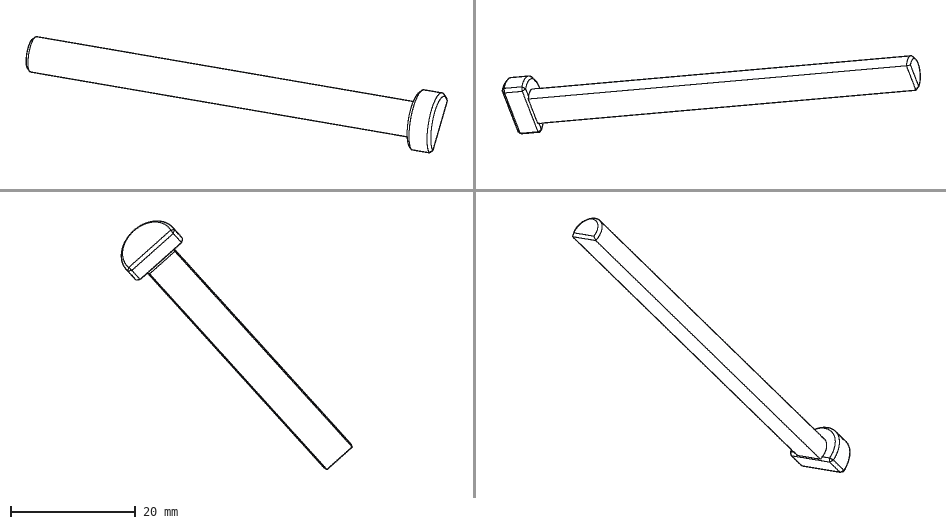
import cadquery as cq
import math

total_length = 69.0
head_length = 4.0
head_radius = 5.05
shaft_radius = 2.9
flat_offset = 1.05
flat_tilt = 33.7
chamfer_size = 0.5

shaft_length = total_length - head_length


def flatted_cylinder(radius, length, start_x):
    """Cylinder along X with a flat facing -Z."""
    half_chord = math.sqrt(radius**2 - flat_offset**2)
    return (
        cq.Workplane("YZ", origin=(start_x, 0, 0))
        .moveTo(-half_chord, -flat_offset)
        .threePointArc((0, radius), (half_chord, -flat_offset))
        .close()
        .extrude(length)
    )


head = flatted_cylinder(head_radius, head_length, shaft_length).edges().chamfer(chamfer_size)

shaft = flatted_cylinder(shaft_radius, shaft_length, 0).faces("<X").chamfer(chamfer_size)

result = shaft.union(head).rotate((0, 0, 0), (1, 0, 0), flat_tilt)